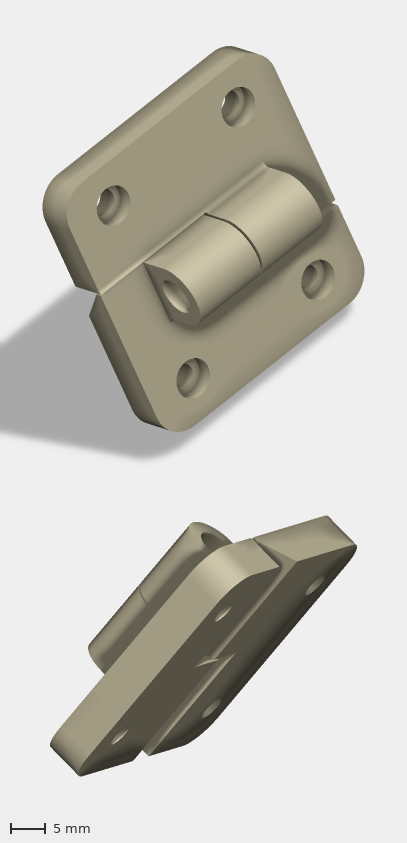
import cadquery as cq


TILT = 57.9
WIDTH = 41.0
LEAF_REACH = 21.85
THICKNESS = 6.0
CORNER_RADIUS = 5.0

KNUCKLE_RADIUS = 5.0
PIN_HOLE_DIAMETER = 5.7
LOWER_KNUCKLE_START = -12.0
LOWER_KNUCKLE_END = 0.1
KNUCKLE_GAP = 0.4
UPPER_KNUCKLE_END = 12.42
UPPER_FOOT_FILLET = 1.0
LOWER_FOOT_RISE = 0.5
LOWER_FOOT_RUN = 0.78

UPPER_EDGE_GAP = 0.25
UPPER_TAB_REACH = 6.75
LOWER_EDGE_REACH = 7.7
TAB_LIP = 1.0

UPPER_HOLE_DIAMETER = 4.0
LOWER_HOLE_DIAMETER = 3.5
COUNTERBORE_DIAMETER = 6.0
COUNTERBORE_DEPTH = 2.5
SCREW_REACH = 15.5
SCREW_HALF_SPACING = 12.5

FRONT_FACE = -KNUCKLE_RADIUS
BACK_FACE = FRONT_FACE - THICKNESS
BEVEL = THICKNESS - TAB_LIP
HALF_WIDTH = WIDTH / 2
UPPER_EDGE = -KNUCKLE_RADIUS - UPPER_EDGE_GAP
LOWER_TAB_END = -KNUCKLE_RADIUS
UPPER_KNUCKLE_START = LOWER_KNUCKLE_END + KNUCKLE_GAP


def block(x_range, y_range, z_range):
    """Box spanning the given ranges."""
    (x0, x1), (y0, y1), (z0, z1) = x_range, y_range, z_range
    return cq.Workplane("XY").box(x1 - x0, y1 - y0, z1 - z0, centered=False).translate((x0, y0, z0))


def prism(profile, y_start, y_end):
    """Closed XZ profile extruded from y_start to y_end."""
    return profile.extrude(y_start - y_end).translate((0, y_start, 0))


def plate(edge, side):
    """Full-width plate from its inner edge outward; side is -1 for the upper leaf, 1 for the lower."""
    x_range = sorted((edge, side * LEAF_REACH))
    body = block(x_range, (-HALF_WIDTH, HALF_WIDTH), (BACK_FACE, FRONT_FACE))
    outer_edge = "<X" if side < 0 else ">X"
    return body.faces(outer_edge).edges("|Z").fillet(CORNER_RADIUS)


def tab(edge, end, side, y_start, y_end):
    """Tab reaching from the plate edge under the knuckle, bevelled on the back of its end."""
    profile = (
        cq.Workplane("XZ")
        .moveTo(edge, FRONT_FACE)
        .lineTo(end, FRONT_FACE)
        .lineTo(end, FRONT_FACE - TAB_LIP)
        .lineTo(end + side * BEVEL, BACK_FACE)
        .lineTo(edge, BACK_FACE)
        .close()
    )
    return prism(profile, y_start, y_end)


def knuckle(y_start, y_end):
    """Round-topped lug standing on the front face."""
    profile = (
        cq.Workplane("XZ")
        .moveTo(-KNUCKLE_RADIUS, FRONT_FACE)
        .lineTo(-KNUCKLE_RADIUS, 0)
        .threePointArc((0, KNUCKLE_RADIUS), (KNUCKLE_RADIUS, 0))
        .lineTo(KNUCKLE_RADIUS, FRONT_FACE)
        .close()
    )
    return prism(profile, y_start, y_end)


def upper_foot():
    """Concave fillet between the upper knuckle flank and the front face."""
    radius = UPPER_FOOT_FILLET
    flank = -KNUCKLE_RADIUS
    arc_middle = radius * (1 - 0.5 ** 0.5)
    profile = (
        cq.Workplane("XZ")
        .moveTo(flank, FRONT_FACE)
        .lineTo(flank, FRONT_FACE + radius)
        .threePointArc((flank - arc_middle, FRONT_FACE + arc_middle), (flank - radius, FRONT_FACE))
        .close()
    )
    return prism(profile, -HALF_WIDTH, UPPER_KNUCKLE_END)


def lower_foot():
    """Sloped foot between the lower knuckle flank and the front face."""
    profile = cq.Workplane("XZ").polyline([
        (KNUCKLE_RADIUS, FRONT_FACE),
        (KNUCKLE_RADIUS, FRONT_FACE + LOWER_FOOT_RISE),
        (KNUCKLE_RADIUS + LOWER_FOOT_RUN, FRONT_FACE),
    ]).close()
    return prism(profile, LOWER_KNUCKLE_START, LOWER_KNUCKLE_END)


def pin_hole():
    """Cutter along the pin axis through both knuckles."""
    return prism(cq.Workplane("XZ").circle(PIN_HOLE_DIAMETER / 2), -HALF_WIDTH, HALF_WIDTH)


def screw_holes(body, x, diameter):
    """Pair of counterbored holes sunk from the front face."""
    return (
        body.copyWorkplane(cq.Workplane("XY", origin=(x, 0, FRONT_FACE)))
        .pushPoints([(0, -SCREW_HALF_SPACING), (0, SCREW_HALF_SPACING)])
        .cboreHole(diameter, COUNTERBORE_DIAMETER, COUNTERBORE_DEPTH, THICKNESS)
    )


def tilted(body):
    """Body turned about the pin axis into its final place."""
    return body.rotate((0, 0, 0), (0, 1, 0), TILT)


def make_upper_leaf():
    body = plate(UPPER_EDGE, -1)
    body = body.union(tab(UPPER_EDGE, UPPER_TAB_REACH, -1, UPPER_KNUCKLE_START, HALF_WIDTH))
    body = body.union(knuckle(UPPER_KNUCKLE_START, UPPER_KNUCKLE_END))

    body = body.union(upper_foot())
    lip_trim = block((UPPER_EDGE, 0), (-HALF_WIDTH, UPPER_KNUCKLE_START), (BACK_FACE, 0))
    body = body.cut(lip_trim).cut(pin_hole())
    return tilted(screw_holes(body, -SCREW_REACH, UPPER_HOLE_DIAMETER))


def make_lower_leaf():
    body = plate(LOWER_EDGE_REACH, 1)
    body = body.union(tab(LOWER_EDGE_REACH, LOWER_TAB_END, 1, -HALF_WIDTH, LOWER_KNUCKLE_END))
    body = body.union(knuckle(LOWER_KNUCKLE_START, LOWER_KNUCKLE_END))
    body = body.union(lower_foot())
    body = body.cut(pin_hole())
    return tilted(screw_holes(body, SCREW_REACH, LOWER_HOLE_DIAMETER))


upper_leaf = make_upper_leaf()
lower_leaf = make_lower_leaf()
result = cq.Compound.makeCompound([upper_leaf.solids().val(), lower_leaf.solids().val()])